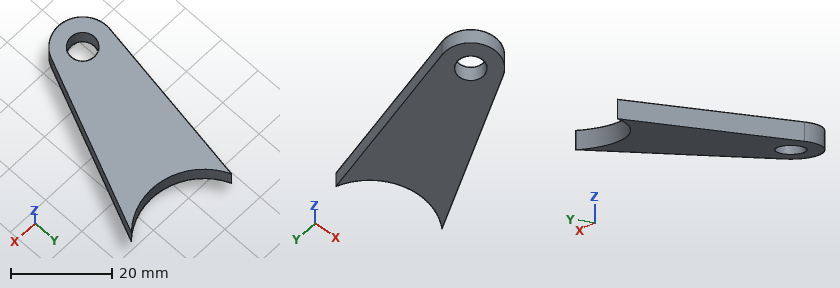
import cadquery as cq
import math

thickness = 4.0
pivot_radius = 6.7
hole_diameter = 6.4

cutout_radius = 14.4
cutout_center = (13.25, 46.3)

left_tip_angle = 201.9
right_tip_angle = 312.9


def point_on_circle(center, radius, angle):
    """Point on a circle at an angle given in degrees from +X."""
    a = math.radians(angle)
    return (center[0] + radius * math.cos(a), center[1] + radius * math.sin(a))


def tangent_point(tip, side):
    """Point where the flank from a tip touches the pivot round.

    side is +1 for the left flank and -1 for the right flank.
    """
    distance = math.hypot(tip[0], tip[1])
    tip_direction = math.degrees(math.atan2(tip[1], tip[0]))
    spread = math.degrees(math.acos(pivot_radius / distance))
    return point_on_circle((0, 0), pivot_radius, tip_direction + side * spread)


def plate():
    """Tapered plate with a round pivot end and a concave wide end."""
    left_tip = point_on_circle(cutout_center, cutout_radius, left_tip_angle)
    right_tip = point_on_circle(cutout_center, cutout_radius, right_tip_angle)
    cutout_middle = point_on_circle(
        cutout_center, cutout_radius, (left_tip_angle + right_tip_angle) / 2
    )
    return (
        cq.Workplane("XY")
        .moveTo(*left_tip)
        .lineTo(*tangent_point(left_tip, 1))
        .threePointArc((0, -pivot_radius), tangent_point(right_tip, -1))
        .lineTo(*right_tip)
        .threePointArc(cutout_middle, left_tip)
        .close()
        .extrude(thickness)
    )


def pivot_hole():
    """Through hole for the pivot pin."""
    return cq.Workplane("XY").circle(hole_diameter / 2).extrude(thickness)


result = plate().cut(pivot_hole())